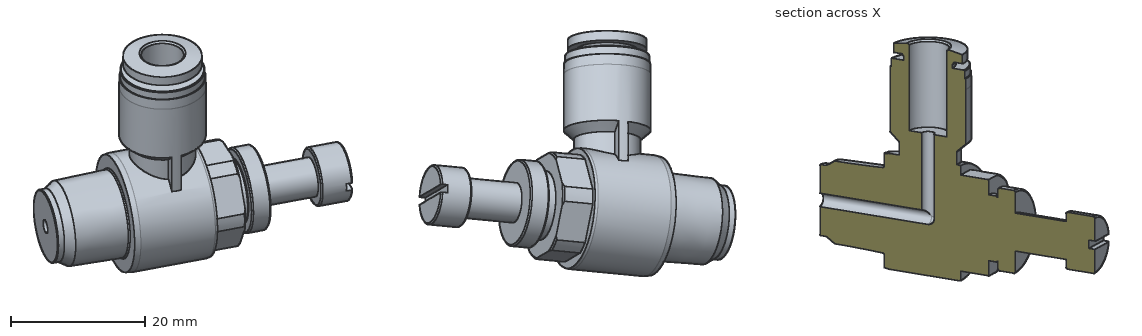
import cadquery as cq


thread_end_y = -18.45
thread_tip_y = -17.4
thread_shoulder_y = -15.95
thread_start_y = -7.7
body_front_y = -7.45
body_front_taper_y = -6.6
body_back_taper_y = 5.15
body_back_y = 5.6
hex_back_y = 10.4
lock_nut_front_y = 11.9
lock_nut_back_y = 14.95
knob_front_y = 23.55
overall_length = 47.0
knob_back_y = thread_end_y + overall_length

thread_tip_dia = 11.2
thread_shoulder_dia = 13.0
thread_start_dia = 13.45
thread_collar_dia = 13.8
body_dia = 18.2
body_front_dia = 17.9
body_back_dia = 18.0
hex_corner_dia = 16.25
hex_across_flats = 15.1
hex_sides = 6
hex_turn = 180 / hex_sides
neck_dia = 10.4
lock_nut_dia = 13.0
stem_dia = 6.0
knob_dia = 9.0

slot_width = 1.2
slot_depth = 1.05

socket_cone_bottom_z = 11.1
socket_bottom_z = 12.45
socket_taper_z = 21.1
socket_rim_z = 22.7
socket_top_z = 24.0
release_flare_z = 24.55
release_ring_bottom_z = 24.9
release_ring_edge_z = 26.35
overall_height = 35.9
release_ring_top_z = overall_height - body_dia / 2

branch_dia = 9.95
socket_dia = 13.0
socket_taper_dia = 12.92
socket_rim_dia = 12.65
release_sleeve_dia = 8.35
release_flare_dia = 9.0
release_ring_dia = 11.8
tube_bore_dia = 6.35
bore_mouth_chamfer = 0.3
passage_dia = 2.0

tube_bore_floor_z = 13.15
rib_thickness = 1.5
edge_chamfer = 0.25
fine_chamfer = 0.15


def cylinder_y(diameter, y_from, y_to):
    """Solid cylinder on the screw axis."""
    plane = cq.Workplane("XZ", origin=(0, y_from, 0))
    return plane.circle(diameter / 2).extrude(y_from - y_to)


def cylinder_z(diameter, z_from, z_to):
    """Solid cylinder on the socket axis."""
    plane = cq.Workplane("XY").workplane(offset=z_from)
    return plane.circle(diameter / 2).extrude(z_to - z_from)


def make_body():
    """Main barrel with its tapered edges and the thread plug."""
    profile = [
        (0, thread_end_y),
        (thread_tip_dia / 2 - fine_chamfer, thread_end_y),
        (thread_tip_dia / 2, thread_end_y + fine_chamfer),
        (thread_tip_dia / 2, thread_tip_y),
        (thread_shoulder_dia / 2, thread_shoulder_y),
        (thread_start_dia / 2, thread_start_y),
        (thread_collar_dia / 2, body_front_y),
        (body_front_dia / 2, body_front_y),
        (body_dia / 2, body_front_taper_y),
        (body_dia / 2, body_back_taper_y),
        (body_back_dia / 2, body_back_y),
        (0, body_back_y),
    ]
    return cq.Workplane("XY").polyline(profile).close().revolve(360, (0, 0), (0, 1))


def make_hex():
    """Hexagon with flats facing up and down and its corners turned round."""
    hexagon = (
        cq.Workplane("XZ", origin=(0, body_back_y, 0))
        .polygon(hex_sides, hex_across_flats, circumscribed=True)
        .extrude(body_back_y - hex_back_y)
        .rotate((0, 0, 0), (0, 1, 0), hex_turn)
    )
    corner_limit = cylinder_y(hex_corner_dia, body_back_y, hex_back_y)
    return hexagon.intersect(corner_limit.faces(">Y").chamfer(edge_chamfer))


def make_adjuster():
    """Neck, lock nut, stem and slotted knob."""
    neck = cylinder_y(neck_dia, hex_back_y, lock_nut_front_y)
    neck = neck.faces(">Y").chamfer(edge_chamfer)
    lock_nut = cylinder_y(lock_nut_dia, lock_nut_front_y, lock_nut_back_y)
    lock_nut = lock_nut.faces("<Y or >Y").chamfer(edge_chamfer)
    stem = cylinder_y(stem_dia, lock_nut_back_y, knob_front_y)
    knob = cylinder_y(knob_dia, knob_front_y, knob_back_y)
    knob = knob.faces("<Y or >Y").chamfer(edge_chamfer)
    slot = cq.Workplane("XY").box(knob_dia, 2 * slot_depth, slot_width)
    knob = knob.cut(slot.translate((0, knob_back_y, 0)))
    return neck.union(lock_nut).union(stem).union(knob)


def make_socket():
    """Upright branch, tube socket and release ring."""
    profile = [
        (0, 0),
        (branch_dia / 2, 0),
        (branch_dia / 2, socket_cone_bottom_z),
        (socket_dia / 2, socket_bottom_z),
        (socket_dia / 2, socket_taper_z),
        (socket_taper_dia / 2, socket_rim_z),
        (socket_rim_dia / 2, socket_rim_z),
        (socket_rim_dia / 2, socket_top_z - fine_chamfer),
        (socket_rim_dia / 2 - fine_chamfer, socket_top_z),
        (release_sleeve_dia / 2, socket_top_z),
        (release_sleeve_dia / 2, release_flare_z),
        (release_flare_dia / 2, release_ring_bottom_z),
        (release_ring_dia / 2, release_ring_bottom_z),
        (release_ring_dia / 2, release_ring_edge_z),
        (tube_bore_dia / 2 + bore_mouth_chamfer, release_ring_top_z),
        (0, release_ring_top_z),
    ]
    return cq.Workplane("XZ").polyline(profile).close().revolve(360, (0, 0), (0, 1))


def make_rib():
    """Thin web joining both sides of the socket to the barrel."""
    web = cq.Workplane("XY").rect(socket_dia, rib_thickness).extrude(socket_bottom_z)
    return web.intersect(cylinder_z(socket_dia, 0, socket_bottom_z))


def make_passages():
    """Tube bore with chamfered mouth and two passages meeting in a rounded elbow."""
    tube_bore = cylinder_z(tube_bore_dia, tube_bore_floor_z, release_ring_top_z)
    mouth = (
        cq.Workplane("XY")
        .workplane(offset=release_ring_top_z)
        .circle(tube_bore_dia / 2 + bore_mouth_chamfer)
        .workplane(offset=-bore_mouth_chamfer)
        .circle(tube_bore_dia / 2)
        .loft()
    )
    upright = cylinder_z(passage_dia, 0, tube_bore_floor_z)
    level = cylinder_y(passage_dia, thread_end_y, 0)
    elbow = cq.Workplane("XY").sphere(passage_dia / 2)
    return tube_bore.union(mouth).union(upright).union(level).union(elbow)


result = (
    make_body()
    .union(make_hex())
    .union(make_adjuster())
    .union(make_socket())
    .union(make_rib())
    .cut(make_passages())
)